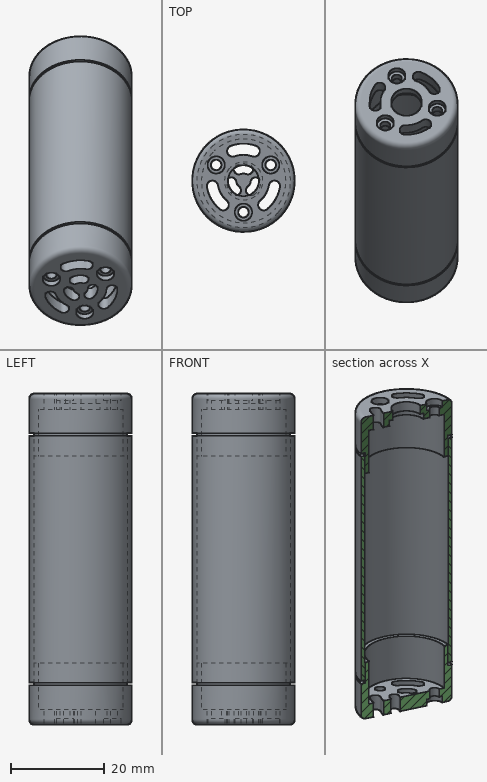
import cadquery as cq
import math

LENGTH = 71.0
OUTER_DIAMETER = 22.0
END_FACE_DIAMETER = 19.7
EDGE_ROUND = (OUTER_DIAMETER - END_FACE_DIAMETER) / 2

CAP_LENGTH = 8.5
GAP = 0.6
FLOOR_THICKNESS = 3.4
SPIGOT_DIAMETER = 20.0
CAVITY_DIAMETER = 18.0
SPIGOT_INSERTION = 4.25
SPIGOT_LENGTH = GAP + SPIGOT_INSERTION
TUBE_LENGTH = LENGTH - 2 * (CAP_LENGTH + GAP)

REPEATS = 3
PITCH_ANGLE = 360.0 / REPEATS
FIRST_SLOT_ANGLE = 90.0
FIRST_SCREW_ANGLE = FIRST_SLOT_ANGLE + PITCH_ANGLE / 2

SCREW_RADIUS = 6.75
SCREW_DIAMETER = 2.2
HEAD_DIAMETER = 3.7
HEAD_DEPTH = 1.5

VENT_RADIUS = 6.75
VENT_WIDTH = 2.35
VENT_HALF_ANGLE = 20.0
INNER_VENT_RADIUS = 2.6
INNER_VENT_WIDTH = 2.1
INNER_VENT_HALF_ANGLE = 22.0

OPENING_DIAMETER = 6.6
RECESS_DIAMETER = 8.2
LIP_THICKNESS = 2.1


def cylinder(diameter, height, base_z):
    return cq.Workplane("XY").workplane(offset=base_z).circle(diameter / 2).extrude(height)


def polar(radius, angle):
    radians = math.radians(angle)
    return (radius * math.cos(radians), radius * math.sin(radians))


def curved_slot(radius, width, half_angle, middle_angle):
    """Arc slot cutter with rounded ends, as deep as the cap floor."""
    start = middle_angle - half_angle
    end = middle_angle + half_angle
    inner = radius - width / 2
    outer = radius + width / 2
    end_x, end_y = polar(radius, end)
    end_tangent_x, end_tangent_y = polar(width / 2, end + 90)
    start_x, start_y = polar(radius, start)
    start_tangent_x, start_tangent_y = polar(width / 2, start - 90)
    return (
        cq.Workplane("XY")
        .moveTo(*polar(outer, start))
        .threePointArc(polar(outer, middle_angle), polar(outer, end))
        .threePointArc((end_x + end_tangent_x, end_y + end_tangent_y), polar(inner, end))
        .threePointArc(polar(inner, middle_angle), polar(inner, start))
        .threePointArc((start_x + start_tangent_x, start_y + start_tangent_y), polar(outer, start))
        .close()
        .extrude(FLOOR_THICKNESS)
    )


def cut_slots(body, radius, width, half_angle):
    for index in range(REPEATS):
        middle_angle = FIRST_SLOT_ANGLE + index * PITCH_ANGLE
        body = body.cut(curved_slot(radius, width, half_angle, middle_angle))
    return body


def cut_screw_holes(body):
    for index in range(REPEATS):
        x, y = polar(SCREW_RADIUS, FIRST_SCREW_ANGLE + index * PITCH_ANGLE)
        shank = cylinder(SCREW_DIAMETER, FLOOR_THICKNESS, 0)
        head = cylinder(HEAD_DIAMETER, HEAD_DEPTH, 0)
        body = body.cut(shank.union(head).translate((x, y, 0)))
    return body


def make_cap_blank():
    """Hollow cap with its outer face at Z = 0 and its spigot pointing up."""
    body = cylinder(OUTER_DIAMETER, CAP_LENGTH, 0).faces("<Z").edges().fillet(EDGE_ROUND)
    body = body.union(cylinder(SPIGOT_DIAMETER, SPIGOT_LENGTH, CAP_LENGTH))
    cavity_depth = CAP_LENGTH + SPIGOT_LENGTH - FLOOR_THICKNESS
    body = body.cut(cylinder(CAVITY_DIAMETER, cavity_depth, FLOOR_THICKNESS))
    body = cut_screw_holes(body)
    return cut_slots(body, VENT_RADIUS, VENT_WIDTH, VENT_HALF_ANGLE)


def make_bottom_cap():
    return cut_slots(make_cap_blank(), INNER_VENT_RADIUS, INNER_VENT_WIDTH, INNER_VENT_HALF_ANGLE)


def make_top_cap():
    body = make_cap_blank()
    body = body.cut(cylinder(OPENING_DIAMETER, LIP_THICKNESS, 0))
    body = body.cut(cylinder(RECESS_DIAMETER, FLOOR_THICKNESS - LIP_THICKNESS, LIP_THICKNESS))
    return body.mirror("XY").translate((0, 0, LENGTH))


def make_tube():
    base_z = CAP_LENGTH + GAP
    body = cylinder(OUTER_DIAMETER, TUBE_LENGTH, base_z)
    return body.cut(cylinder(SPIGOT_DIAMETER, TUBE_LENGTH, base_z))


bottom_cap = make_bottom_cap()
tube = make_tube()
top_cap = make_top_cap()

result = cq.Compound.makeCompound([bottom_cap.val(), tube.val(), top_cap.val()])